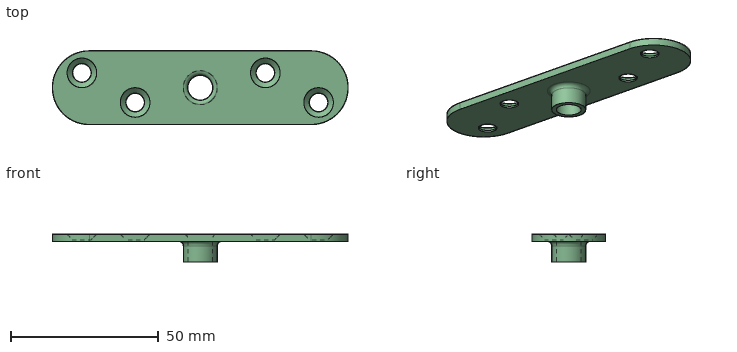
import cadquery as cq

plate_length = 100.0
plate_width = 25.0
plate_thickness = 2.5

overall_height = 9.5
collar_diameter = 11.5
collar_root_radius = 1.5
bore_diameter = 8.38
bore_mouth_radius = 1.5

screw_hole_diameter = 6.2
countersink_diameter = 10.0
countersink_angle = 90.0
screw_row_offset = 5.0
outer_screw_x = 40.0
inner_screw_x = 22.0
screw_positions = [
    (-outer_screw_x, screw_row_offset),
    (-inner_screw_x, -screw_row_offset),
    (inner_screw_x, screw_row_offset),
    (outer_screw_x, -screw_row_offset),
]


def make_plate():
    return (
        cq.Workplane("XY")
        .slot2D(plate_length, plate_width)
        .extrude(-plate_thickness)
    )


def make_collar():
    """Ring of material under the plate, with a concave fillet at its root."""
    radius = collar_diameter / 2
    root_z = -plate_thickness - collar_root_radius
    return (
        cq.Workplane("XZ")
        .moveTo(0, -plate_thickness)
        .lineTo(radius + collar_root_radius, -plate_thickness)
        .radiusArc((radius, root_z), -collar_root_radius)
        .lineTo(radius, -overall_height)
        .lineTo(0, -overall_height)
        .close()
        .revolve(360, (0, 0), (0, 1))
    )


def make_bore():
    """Through bore whose upper mouth flares out with a convex radius."""
    radius = bore_diameter / 2
    return (
        cq.Workplane("XZ")
        .moveTo(0, 0)
        .lineTo(radius + bore_mouth_radius, 0)
        .radiusArc((radius, -bore_mouth_radius), -bore_mouth_radius)
        .lineTo(radius, -overall_height)
        .lineTo(0, -overall_height)
        .close()
        .revolve(360, (0, 0), (0, 1))
    )


def cut_screw_holes(body):
    return (
        body.faces(">Z")
        .workplane(origin=(0, 0, 0))
        .pushPoints(screw_positions)
        .cskHole(screw_hole_diameter, countersink_diameter, countersink_angle)
    )


result = cut_screw_holes(make_plate().union(make_collar()).cut(make_bore()))